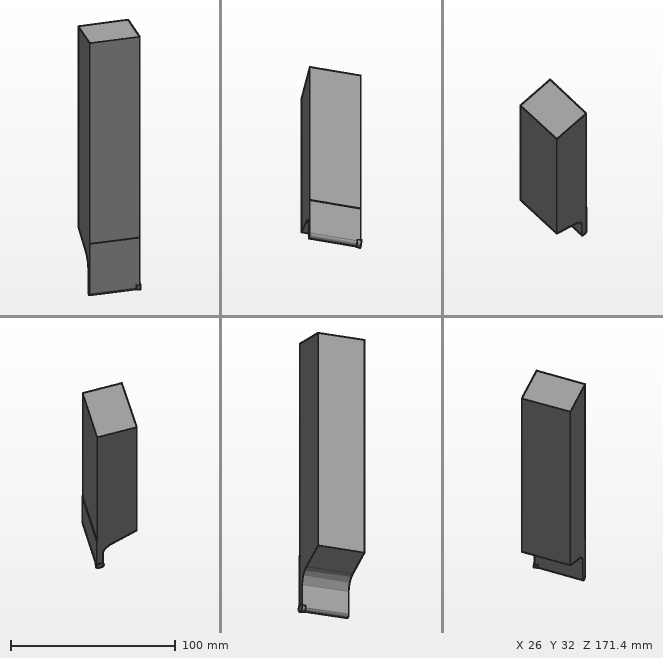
import cadquery as cq
import math

total_width = 26.0
total_height = 171.4
total_depth = 32.0

rim_radius = 2.5
back_radius = 2.2
insert_thickness = 2.5
insert_x = total_width - rim_radius
insert_z = rim_radius

insert_projection = 0.3
holder_depth = total_depth - insert_projection
blade_thickness = 4.1
blade_step = 0.3
blade_left = insert_x - blade_thickness / 2
blade_right = insert_x + blade_thickness / 2
shank_right = blade_right - blade_step
shoulder_z = 36.0
shoulder_angle = 30.0
shoulder_fillet = 11.3
side_relief = 0.3


def make_insert():
    """Round button with its side tapering toward the back, axis along Y."""
    back_y = total_depth - insert_thickness
    profile = (
        cq.Workplane("XY")
        .moveTo(0, back_y)
        .lineTo(back_radius, back_y)
        .lineTo(rim_radius, total_depth)
        .lineTo(0, total_depth)
        .close()
    )
    button = profile.revolve(360, (0, 0, 0), (0, 1, 0))
    return button.translate((insert_x, 0, insert_z))


def make_side_relief():
    """Wedge that leans the -X side of the shank."""
    return (
        cq.Workplane("XY")
        .polyline([(0, 0), (side_relief, 0), (0, holder_depth)])
        .close()
        .extrude(total_height)
    )


def make_holder(insert):
    """Shank, sloping shoulder and round-nosed blade, with a seat for the insert."""
    slope = math.radians(shoulder_angle)
    corner_z = shoulder_z - blade_left * math.tan(slope)
    tangent_length = shoulder_fillet * math.tan((math.pi / 2 - slope) / 2)
    fillet_start = (
        blade_left - tangent_length * math.cos(slope),
        corner_z + tangent_length * math.sin(slope),
    )
    fillet_end = (blade_left, corner_z - tangent_length)
    nose_bottom = insert_z - blade_thickness / 2
    body = (
        cq.Workplane("XZ")
        .moveTo(0, total_height)
        .lineTo(0, shoulder_z)
        .lineTo(*fillet_start)
        .tangentArcPoint(fillet_end, relative=False)
        .lineTo(blade_left, insert_z)
        .threePointArc((insert_x, nose_bottom), (blade_right, insert_z))
        .lineTo(blade_right, shoulder_z)
        .lineTo(shank_right, shoulder_z)
        .lineTo(shank_right, total_height)
        .close()
        .extrude(-holder_depth)
    )
    return body.cut(make_side_relief()).cut(insert)


insert = make_insert()
holder = make_holder(insert)

result = cq.Compound.makeCompound([holder.val(), insert.val()])